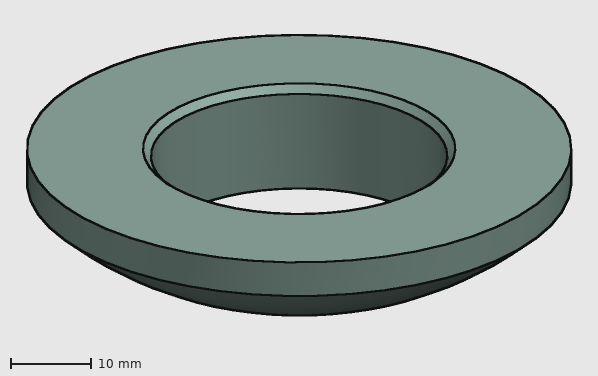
import math

import cadquery as cq

outer_diameter = 68.0
bore_diameter = 37.0
height = 14.0
seat_radius = 50.0
bottom_face_diameter = 39.0
bore_chamfer = 1.0

outer_radius = outer_diameter / 2
bore_radius = bore_diameter / 2
bottom_radius = bottom_face_diameter / 2


def seat_depth(radius):
    """Distance of the seat surface below the sphere centre at a given radius."""
    return math.sqrt(seat_radius**2 - radius**2)


sphere_centre_z = seat_depth(bottom_radius)
rim_bottom_z = sphere_centre_z - seat_depth(outer_radius)
mid_seat_radius = (outer_radius + bottom_radius) / 2
mid_seat_z = sphere_centre_z - seat_depth(mid_seat_radius)


def washer_body():
    """Half section in the XZ plane, revolved about the Z axis."""
    section = (
        cq.Workplane("XZ")
        .moveTo(bore_radius, 0)
        .lineTo(bottom_radius, 0)
        .threePointArc((mid_seat_radius, mid_seat_z), (outer_radius, rim_bottom_z))
        .lineTo(outer_radius, height)
        .lineTo(bore_radius + bore_chamfer, height)
        .lineTo(bore_radius, height - bore_chamfer)
        .close()
    )
    return section.revolve(360, (0, 0, 0), (0, 1, 0))


result = washer_body()